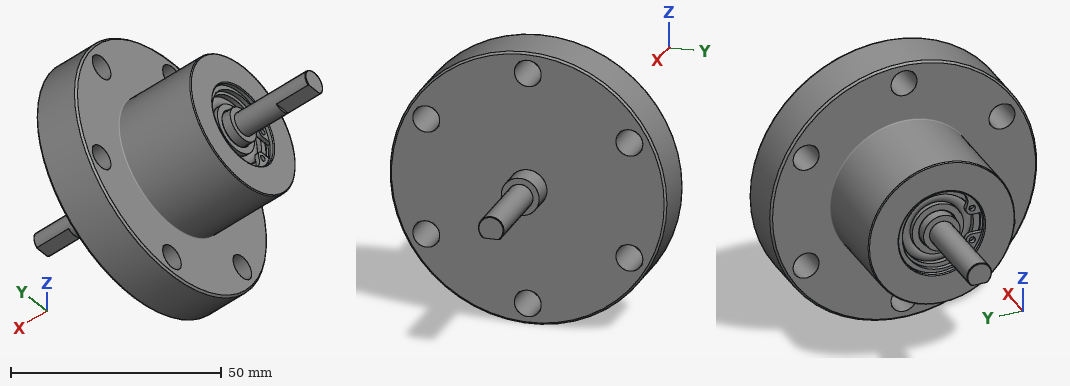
import cadquery as cq
import math


shaft_length = 86.1
shaft_diameter = 6.4
journal_diameter = 9.5
stub_length = 22.5
shaft_chamfer = 0.2
flat_length = 10.2
flat_depth = 0.8

flange_diameter = 69.3
flange_thickness = 12.75
boss_diameter = 38.1
boss_length = 22.6
housing_length = boss_length + flange_thickness
flange_chamfer = 0.5
boss_chamfer = 0.3
root_fillet = 0.3
bolt_count = 6
bolt_hole_diameter = 6.7
bolt_circle_diameter = 58.7

bearing_outer_diameter = 22.2
bearing_bore = 9.6
bearing_width = 5.6
bearing_face_depth = 2.3
outer_face_diameter = 21.7
inner_face_diameter = 10.0
gap_outer_diameter = 18.4
gap_inner_diameter = 13.35
ball_radius = 2.0

ring_thickness = 1.1
ring_outer_diameter = 23.7
ring_inner_diameter = 20.7
ring_inner_offset = 0.6
lug_radius = 1.6
lug_hole_diameter = 1.55
lug_y = -8.4
lug_z = 4.3
lug_neck_radius = 3.0
ring_front = bearing_face_depth - ring_thickness

bore_mouth_diameter = 22.7
mouth_chamfer = (bore_mouth_diameter - bearing_outer_diameter) / 2


def disc(start, length, diameter):
    """Cylinder along X from x = start."""
    return cq.Workplane("YZ", origin=(start, 0, 0)).circle(diameter / 2).extrude(length)


def make_housing():
    boss_radius = boss_diameter / 2
    flange_radius = flange_diameter / 2

    body = (
        cq.Workplane("XY")
        .lineTo(0, boss_radius - boss_chamfer)
        .lineTo(boss_chamfer, boss_radius)
        .lineTo(boss_length - root_fillet, boss_radius)
        .radiusArc((boss_length, boss_radius + root_fillet), -root_fillet)
        .lineTo(boss_length, flange_radius - flange_chamfer)
        .lineTo(boss_length + flange_chamfer, flange_radius)
        .lineTo(housing_length - flange_chamfer, flange_radius)
        .lineTo(housing_length, flange_radius - flange_chamfer)
        .lineTo(housing_length, 0)
        .close()
        .revolve(360, (0, 0, 0), (1, 0, 0))
    )
    bolt_holes = (
        cq.Workplane("YZ", origin=(boss_length, 0, 0))
        .polarArray(bolt_circle_diameter / 2, 90, 360, bolt_count)
        .circle(bolt_hole_diameter / 2)
        .extrude(flange_thickness)
    )
    bearing_seat = disc(0, bearing_face_depth + bearing_width, bearing_outer_diameter)
    ring_groove = disc(ring_front, ring_thickness, ring_outer_diameter)
    shaft_hole = disc(0, housing_length, bearing_bore)
    mouth = cq.Workplane(
        cq.Solid.makeCone(
            bore_mouth_diameter / 2,
            bearing_outer_diameter / 2,
            mouth_chamfer,
            pnt=cq.Vector(0, 0, 0),
            dir=cq.Vector(1, 0, 0),
        )
    )
    housing = body.cut(bolt_holes).cut(shaft_hole)
    return housing.cut(bearing_seat).cut(ring_groove).cut(mouth)


def make_shaft():
    rod = disc(-stub_length, shaft_length, shaft_diameter).edges().chamfer(shaft_chamfer)
    journal = disc(0, shaft_length - 2 * stub_length, journal_diameter)
    shaft = rod.union(journal)
    flat_top = -shaft_diameter / 2 + flat_depth
    shaft_end = shaft_length - stub_length
    for start in (-stub_length, shaft_end - flat_length):
        flat_cutter = cq.Workplane("XY").box(
            flat_length, shaft_diameter, shaft_diameter, centered=(False, True, False)
        )
        shaft = shaft.cut(flat_cutter.translate((start, 0, flat_top - shaft_diameter)))
    return shaft


def make_bearing():
    """Both races and the ball torus, turned as one profile."""
    bore_radius = bearing_bore / 2
    outer_radius = bearing_outer_diameter / 2
    inner_face_radius = inner_face_diameter / 2
    outer_face_radius = outer_face_diameter / 2
    gap_inner = gap_inner_diameter / 2
    gap_outer = gap_outer_diameter / 2
    pitch_radius = (gap_inner + gap_outer) / 2
    inner_chamfer = inner_face_radius - bore_radius
    outer_chamfer = outer_radius - outer_face_radius
    half_width = bearing_width / 2
    torus_edge = math.sqrt(ball_radius**2 - (gap_outer - pitch_radius) ** 2)

    profile = (
        cq.Workplane("XY")
        .moveTo(-half_width + inner_chamfer, bore_radius)
        .lineTo(-half_width, inner_face_radius)
        .lineTo(-half_width, gap_inner)
        .lineTo(-torus_edge, gap_inner)
        .threePointArc((-ball_radius, pitch_radius), (-torus_edge, gap_outer))
        .lineTo(-half_width, gap_outer)
        .lineTo(-half_width, outer_face_radius)
        .lineTo(-half_width + outer_chamfer, outer_radius)
        .lineTo(half_width - outer_chamfer, outer_radius)
        .lineTo(half_width, outer_face_radius)
        .lineTo(half_width, gap_outer)
        .lineTo(torus_edge, gap_outer)
        .threePointArc((ball_radius, pitch_radius), (torus_edge, gap_inner))
        .lineTo(half_width, gap_inner)
        .lineTo(half_width, inner_face_radius)
        .lineTo(half_width - inner_chamfer, bore_radius)
        .close()
    )
    bearing = profile.revolve(360, (0, 0, 0), (1, 0, 0))
    return bearing.translate((bearing_face_depth + half_width, 0, 0))


def point_between(start, end, distance):
    """Point at the given distance from start, on the way to end."""
    part = distance / math.dist(start, end)
    return (start[0] + part * (end[0] - start[0]), start[1] + part * (end[1] - start[1]))


def make_retaining_ring():
    """Eccentric open ring with two lugs for pliers."""
    outer_radius = ring_outer_diameter / 2
    inner_radius = ring_inner_diameter / 2
    inner_centre = (-ring_inner_offset, 0)
    lug_centre = (lug_y, lug_z)

    to_neck = inner_radius - lug_neck_radius
    lug_to_neck = lug_radius + lug_neck_radius
    to_lug = math.dist(inner_centre, lug_centre)
    lug_angle = math.atan2(lug_z, lug_y + ring_inner_offset)
    neck_turn = math.acos((to_neck**2 + to_lug**2 - lug_to_neck**2) / (2 * to_neck * to_lug))
    neck_angle = lug_angle - neck_turn
    neck_centre = (
        inner_centre[0] + to_neck * math.cos(neck_angle),
        to_neck * math.sin(neck_angle),
    )
    neck_start = point_between(inner_centre, neck_centre, inner_radius)
    neck_end = point_between(lug_centre, neck_centre, lug_radius)

    gap_half_height = lug_z - lug_radius
    gap_corner_y = -math.sqrt(outer_radius**2 - gap_half_height**2)
    ring = (
        cq.Workplane("YZ", origin=(ring_front, 0, 0))
        .moveTo(neck_start[0], -neck_start[1])
        .threePointArc((inner_radius - ring_inner_offset, 0), neck_start)
        .radiusArc(neck_end, -lug_neck_radius)
        .radiusArc((lug_y, gap_half_height), lug_radius)
        .lineTo(gap_corner_y, gap_half_height)
        .threePointArc((outer_radius, 0), (gap_corner_y, -gap_half_height))
        .lineTo(lug_y, -gap_half_height)
        .radiusArc((neck_end[0], -neck_end[1]), lug_radius)
        .radiusArc((neck_start[0], -neck_start[1]), -lug_neck_radius)
        .close()
        .extrude(ring_thickness)
    )
    for hole_z in (lug_z, -lug_z):
        lug_hole = disc(ring_front, ring_thickness, lug_hole_diameter)
        ring = ring.cut(lug_hole.translate((0, lug_y, hole_z)))
    return ring


housing = make_housing()
shaft = make_shaft()
bearing = make_bearing()
retaining_ring = make_retaining_ring()

result = cq.Compound.makeCompound(
    [housing.val(), shaft.val(), bearing.val(), retaining_ring.val()]
)